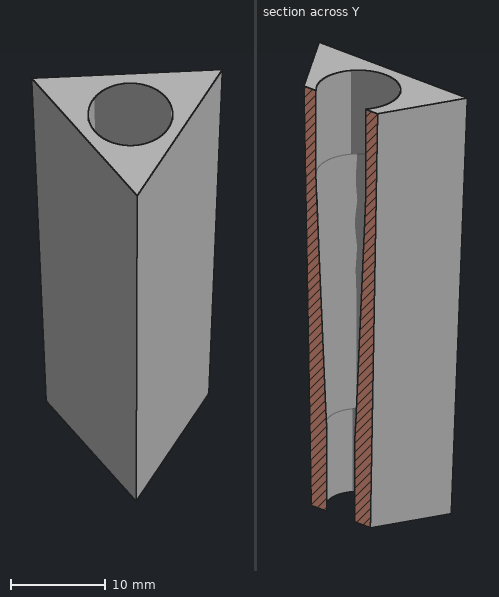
import cadquery as cq
import math

height = 50.0
top_side = 20.35
bottom_side = 17.35
top_bore_diameter = 9.0
bottom_bore_diameter = 7.0
bore_end_depth = 10.0
cone_start = bore_end_depth
cone_end = height - bore_end_depth


def triangle_corners(side):
    """Corners of an equilateral triangle centred on the Z axis, one flat facing -Y."""
    apothem = side / (2 * math.sqrt(3))
    return [(-side / 2, -apothem), (side / 2, -apothem), (0, 2 * apothem)]


post = (
    cq.Workplane("XY")
    .polyline(triangle_corners(bottom_side))
    .close()
    .workplane(offset=height)
    .polyline(triangle_corners(top_side))
    .close()
    .loft(ruled=True)
)

bore_profile = [
    (0, 0),
    (bottom_bore_diameter / 2, 0),
    (bottom_bore_diameter / 2, cone_start),
    (top_bore_diameter / 2, cone_end),
    (top_bore_diameter / 2, height),
    (0, height),
]
bore = cq.Workplane("XZ").polyline(bore_profile).close().revolve(360, (0, 0, 0), (0, 1, 0))

result = post.cut(bore)